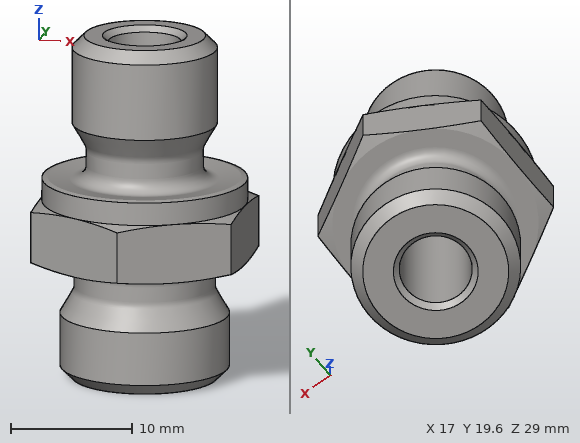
import cadquery as cq
import math

LENGTH = 29.0
LOWER_THREAD_TOP = 5.45
HEX_BOTTOM = 10.0
HEX_TOP = 15.0
COLLAR_TOP = 17.0
UPPER_THREAD_BOTTOM = 21.6

HEX_ACROSS_FLATS = 17.0
HEX_ACROSS_CORNERS = HEX_ACROSS_FLATS / math.cos(math.radians(30))
COLLAR_RADIUS = HEX_ACROSS_FLATS / 2
LOWER_THREAD_RADIUS = 14.0 / 2
LOWER_NECK_RADIUS = 11.7 / 2
UPPER_THREAD_RADIUS = 12.0 / 2
UPPER_NECK_RADIUS = 9.7 / 2
BORE_RADIUS = 6.0 / 2

LOWER_CHAMFER = 1.0
UPPER_CHAMFER = 1.0
BORE_CHAMFER = 0.5
HEX_CHAMFER_ANGLE = math.radians(15)
RUNOUT_ANGLE = math.radians(30)
LOWER_FILLET = 1.0
UPPER_FILLET = 1.2

SEAL_RADIUS = 8.0
SEAL_SLOPE = math.radians(6)
RIM_DROP = 0.1


def revolve_profile(profile):
    """Turn a closed radius-height outline about the Z axis."""
    return profile.close().revolve(360, (0, 0, 0), (0, 1, 0))


def runout_blend(neck_radius, corner_z, fillet, cone_direction):
    """Points of the arc joining a neck to its runout cone, from neck to cone."""
    start_z = corner_z - cone_direction * fillet * math.tan(RUNOUT_ANGLE / 2)

    def point(angle):
        radius = neck_radius + fillet * (1 - math.cos(angle))
        return radius, start_z + cone_direction * fillet * math.sin(angle)

    return point(0), point(RUNOUT_ANGLE / 2), point(RUNOUT_ANGLE)


def make_lower_stud():
    """Lower threaded end with its neck, flared into the hexagon."""
    runout_height = (LOWER_THREAD_RADIUS - LOWER_NECK_RADIUS) / math.tan(RUNOUT_ANGLE)
    neck_start, blend_mid, cone_end = runout_blend(
        LOWER_NECK_RADIUS, LOWER_THREAD_TOP + runout_height, LOWER_FILLET, -1
    )
    flare_mid_offset = LOWER_FILLET * (1 - math.cos(math.pi / 4))
    profile = (
        cq.Workplane("XZ")
        .lineTo(LOWER_THREAD_RADIUS - LOWER_CHAMFER, 0)
        .lineTo(LOWER_THREAD_RADIUS, LOWER_CHAMFER)
        .lineTo(LOWER_THREAD_RADIUS, LOWER_THREAD_TOP)
        .lineTo(*cone_end)
        .threePointArc(blend_mid, neck_start)
        .lineTo(LOWER_NECK_RADIUS, HEX_BOTTOM - LOWER_FILLET)
        .threePointArc(
            (LOWER_NECK_RADIUS + flare_mid_offset, HEX_BOTTOM - flare_mid_offset),
            (LOWER_NECK_RADIUS + LOWER_FILLET, HEX_BOTTOM),
        )
        .lineTo(LOWER_NECK_RADIUS + LOWER_FILLET, HEX_TOP)
        .lineTo(0, HEX_TOP)
    )
    return revolve_profile(profile)


def make_hexagon():
    """Hexagon with corners on the Y axis, its corners turned down at both ends."""
    prism = (
        cq.Workplane("XY", origin=(0, 0, HEX_BOTTOM))
        .polygon(6, HEX_ACROSS_CORNERS)
        .extrude(HEX_TOP - HEX_BOTTOM)
        .rotate((0, 0, 0), (0, 0, 1), 30)
    )
    outer_radius = HEX_ACROSS_CORNERS / 2 + 0.3
    drop = (outer_radius - COLLAR_RADIUS) * math.tan(HEX_CHAMFER_ANGLE)
    envelope = (
        cq.Workplane("XZ")
        .moveTo(0, HEX_BOTTOM)
        .lineTo(COLLAR_RADIUS, HEX_BOTTOM)
        .lineTo(outer_radius, HEX_BOTTOM + drop)
        .lineTo(outer_radius, HEX_TOP - drop)
        .lineTo(COLLAR_RADIUS, HEX_TOP)
        .lineTo(0, HEX_TOP)
    )
    return prism.intersect(revolve_profile(envelope))


def make_upper_stud():
    """Collar with its sloping seal face, upper neck and upper threaded end."""
    runout_height = (UPPER_THREAD_RADIUS - UPPER_NECK_RADIUS) / math.tan(RUNOUT_ANGLE)
    neck_end, blend_mid, cone_start = runout_blend(
        UPPER_NECK_RADIUS, UPPER_THREAD_BOTTOM - runout_height, UPPER_FILLET, 1
    )

    center_radius = UPPER_NECK_RADIUS + UPPER_FILLET
    seal_root_radius = center_radius + UPPER_FILLET * math.sin(SEAL_SLOPE)
    seal_root_z = COLLAR_TOP - (SEAL_RADIUS - seal_root_radius) * math.tan(SEAL_SLOPE)
    center_z = seal_root_z + UPPER_FILLET * math.cos(SEAL_SLOPE)
    fillet_mid = (
        center_radius - UPPER_FILLET * math.cos(math.pi / 4),
        center_z - UPPER_FILLET * math.sin(math.pi / 4),
    )

    profile = (
        cq.Workplane("XZ")
        .moveTo(0, HEX_TOP)
        .lineTo(COLLAR_RADIUS, HEX_TOP)
        .lineTo(COLLAR_RADIUS, COLLAR_TOP - RIM_DROP)
        .lineTo(SEAL_RADIUS, COLLAR_TOP)
        .lineTo(seal_root_radius, seal_root_z)
        .threePointArc(fillet_mid, (UPPER_NECK_RADIUS, center_z))
        .lineTo(*neck_end)
        .threePointArc(blend_mid, cone_start)
        .lineTo(UPPER_THREAD_RADIUS, UPPER_THREAD_BOTTOM)
        .lineTo(UPPER_THREAD_RADIUS, LENGTH - UPPER_CHAMFER)
        .lineTo(UPPER_THREAD_RADIUS - UPPER_CHAMFER, LENGTH)
        .lineTo(0, LENGTH)
    )
    return revolve_profile(profile)


def make_bore():
    """Through bore, countersunk at both ends."""
    mouth_radius = BORE_RADIUS + BORE_CHAMFER
    profile = (
        cq.Workplane("XZ")
        .lineTo(mouth_radius, 0)
        .lineTo(BORE_RADIUS, BORE_CHAMFER)
        .lineTo(BORE_RADIUS, LENGTH - BORE_CHAMFER)
        .lineTo(mouth_radius, LENGTH)
        .lineTo(0, LENGTH)
    )
    return revolve_profile(profile)


result = make_hexagon().union(make_lower_stud()).union(make_upper_stud()).cut(make_bore())